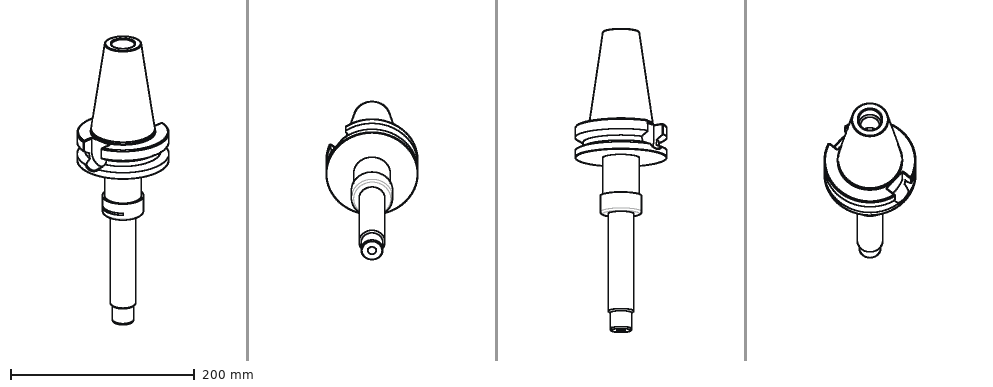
import cadquery as cq
import math

total_height = 331.3
gauge_height = 229.0
flange_top = 226.0
flange_bottom = 191.5
collar_top = 149.5
collar_bottom = 129.5
shaft_bottom = 19.5

gauge_diameter = 70.0
taper_ratio = 7 / 24
taper_top_diameter = gauge_diameter - taper_ratio * (total_height - gauge_height)
relief_diameter = 68.5
seat_diameter = 71.0
seat_height = 0.5
taper_top_edge = 0.83

flange_diameter = 100.0
flange_chamfer = 1.3
flange_lower_chamfer = 0.5
groove_diameter = 82.8
upper_rim_bottom = 214.0
groove_floor_top = 208.7
groove_floor_bottom = 203.0
lower_rim_top = 199.5

slot_width = 26.0
slot_wall_offset = 35.5
slot_bottom = 196.0
slot_chamfer = 1.0

body_diameter = 40.0
collar_diameter = 45.0
collar_fillet = 2.3
shaft_diameter = 28.0
shoulder_height = 2.0
tip_diameter = 24.0
tip_end_diameter = 22.0
tip_chamfer_height = 2.0

band_bottom = 136.0
band_height = 2.3
band_depth = 0.15
band_half_angle = 45

mouth_diameter = 27.2
mouth_chamfer = 1.0
counterbore_diameter = 25.0
counterbore_depth = 14.0
thread_diameter = 21.0
thread_depth = 43.0
thread_lead_height = 2.0
hole_chamfer_diameter = 10.5
hole_diameter = 9.0


def revolved(profile):
    """Solid of revolution about Z from (diameter, height) points."""
    points = [(diameter / 2, height) for diameter, height in profile]
    return cq.Workplane("XZ").polyline(points).close().revolve(360, (0, 0, 0), (0, 1, 0))


def outer_body():
    """Taper, flange, arbor and tip as one turned solid."""
    return revolved([
        (0, 0),
        (tip_end_diameter, 0),
        (tip_diameter, tip_chamfer_height),
        (tip_diameter, shaft_bottom),
        (shaft_diameter, shaft_bottom + shoulder_height),
        (shaft_diameter, collar_bottom),
        (body_diameter, collar_bottom),
        (body_diameter, flange_bottom),
        (flange_diameter - 2 * flange_lower_chamfer, flange_bottom),
        (flange_diameter, flange_bottom + flange_lower_chamfer),
        (flange_diameter, lower_rim_top),
        (groove_diameter, groove_floor_bottom),
        (groove_diameter, groove_floor_top),
        (flange_diameter, upper_rim_bottom),
        (flange_diameter, flange_top - flange_chamfer),
        (flange_diameter - 2 * flange_chamfer, flange_top),
        (seat_diameter, flange_top),
        (seat_diameter, flange_top + seat_height),
        (relief_diameter, flange_top + seat_height),
        (relief_diameter, gauge_height),
        (gauge_diameter, gauge_height),
        (taper_top_diameter, total_height - taper_top_edge),
        (taper_top_diameter - 2 * taper_top_edge, total_height),
        (0, total_height),
    ])


def collar():
    """Ring around the arbor with a rounded lower edge."""
    ring = (
        cq.Workplane("XY", origin=(0, 0, collar_bottom))
        .circle(collar_diameter / 2)
        .extrude(collar_top - collar_bottom)
    )
    return ring.faces("<Z").edges().fillet(collar_fillet)


def bore():
    """Stepped clearance through the full length, entered from the taper end."""
    counterbore_floor = total_height - counterbore_depth
    thread_floor = total_height - thread_depth
    hole_chamfer = (hole_chamfer_diameter - hole_diameter) / 2
    return revolved([
        (0, 0),
        (hole_diameter, 0),
        (hole_diameter, thread_floor - hole_chamfer),
        (hole_chamfer_diameter, thread_floor),
        (thread_diameter, thread_floor),
        (thread_diameter, counterbore_floor - thread_lead_height),
        (counterbore_diameter, counterbore_floor),
        (counterbore_diameter, total_height - mouth_chamfer),
        (mouth_diameter, total_height),
        (0, total_height),
    ])


def drive_slot(side):
    """Round-bottomed slot in the flange; side is -1 or +1 along Y."""
    radius = slot_width / 2
    arc_centre = slot_bottom + radius
    return (
        cq.Workplane("XZ", origin=(0, side * slot_wall_offset, 0))
        .moveTo(-radius, flange_top)
        .lineTo(-radius, arc_centre)
        .threePointArc((0, slot_bottom), (radius, arc_centre))
        .lineTo(radius, flange_top)
        .close()
        .extrude(-side * flange_diameter / 2)
    )


def marking_band():
    """Thin ring segment centred on -Y, to be cut out of the collar surface."""
    outer = collar_diameter / 2
    inner = outer - band_depth
    start = math.radians(-90 - band_half_angle)
    end = math.radians(-90 + band_half_angle)

    def on_circle(radius, angle):
        return radius * math.cos(angle), radius * math.sin(angle)

    return (
        cq.Workplane("XY", origin=(0, 0, band_bottom))
        .moveTo(*on_circle(inner, start))
        .lineTo(*on_circle(outer, start))
        .threePointArc((0, -outer), on_circle(outer, end))
        .lineTo(*on_circle(inner, end))
        .threePointArc((0, -inner), on_circle(inner, start))
        .close()
        .extrude(band_height)
    )


def break_slot_edges(body, side):
    """Chamfer the slot edges on the flange top and on both rims; side is -1 or +1 along Y."""
    half_width = slot_width / 2 + slot_chamfer
    inner = side * (slot_wall_offset + slot_chamfer)
    outer = side * flange_diameter / 2
    upper_rim = cq.selectors.BoxSelector(
        (-half_width, inner, upper_rim_bottom),
        (half_width, outer, flange_top + slot_chamfer),
    )
    lower_rim = cq.selectors.BoxSelector(
        (-half_width, inner, flange_bottom),
        (half_width, outer, lower_rim_top),
    )
    return body.edges(upper_rim + lower_rim).chamfer(slot_chamfer)


result = outer_body().union(collar()).cut(bore())
for side in (-1, 1):
    result = result.cut(drive_slot(side))
    result = break_slot_edges(result, side)
result = result.cut(marking_band())